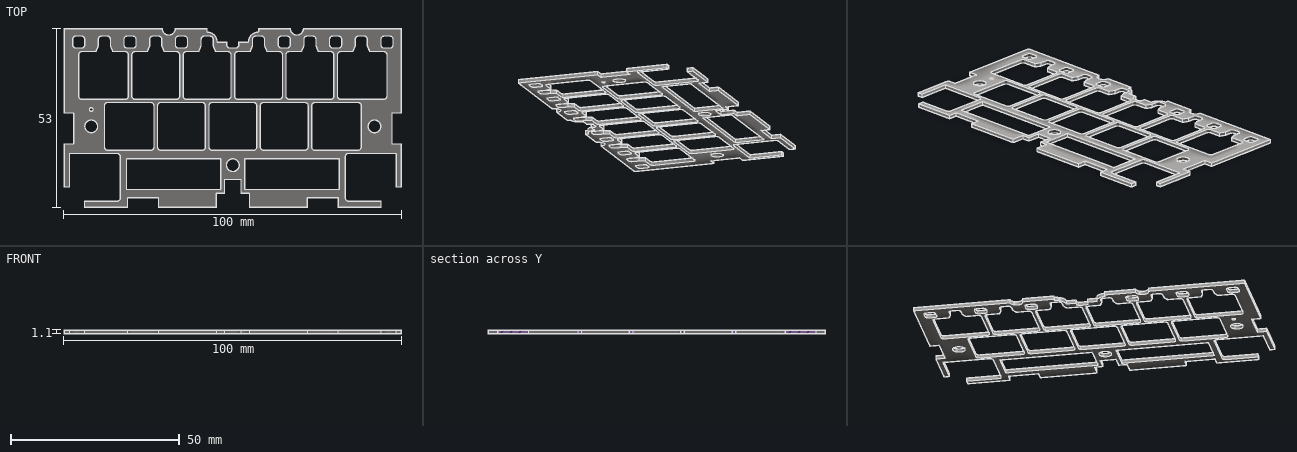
import cadquery as cq

length = 100.0
depth = 53.0
thickness = 1.1
half_length = length / 2
half_depth = depth / 2

upper_row_span = 76.2
key_size = 14.1
key_corner_radius = 0.9
end_key_extra = 0.5
upper_key_count = 6
key_pitch = upper_row_span / (upper_key_count - 1)
middle_key_count = 5
upper_row_y = 12.6
row_spacing = 15.1
middle_row_y = upper_row_y - row_spacing
lower_row_y = middle_row_y - row_spacing

window_size = 3.5
window_corner_radius = 0.9
window_y = 22.5
neck_flare_half_width = 2.5
neck_flare_y = 21.4

rear_scallop_x = 19.0
rear_scallop_radius = 1.9
recess_half_width = key_pitch / 2
recess_floor_y = window_y
neck_guard_radius = 3.0

side_notch_depth = 2.8
side_notch_rear_y = 1.4
side_notch_front_y = -7.7

side_arm_width = 1.6
side_arm_end_y = -20.5
corner_key_inner_x = 33.4
front_arm_end_x = 44.0

front_notch_outer_x = 31.2
front_notch_inner_x = 22.1
front_notch_top_y = -23.7
front_step_half_width = 4.9
front_step_y = -22.4
front_slot_half_width = 2.4
front_slot_top_y = -18.3

wide_window_outer_x = 31.5
wide_window_inner_x = 3.6
wide_window_rear_y = -12.1
wide_window_front_y = -21.2

screw_hole_diameter = 3.7
side_screw_x = 42.0
center_screw_y = -14.0
pin_hole_diameter = 1.0
pin_hole_y = 2.5


def box_between(x1, x2, y1, y2):
    """Full-thickness block spanning two X and two Y limits."""
    center = ((x1 + x2) / 2, (y1 + y2) / 2)
    return cq.Workplane("XY").center(*center).rect(abs(x2 - x1), abs(y2 - y1)).extrude(thickness)


def rounded_square(x, y, size, radius):
    """Full-thickness square with rounded upright edges."""
    half = size / 2
    return box_between(x - half, x + half, y - half, y + half).edges("|Z").fillet(radius)


def cylinder(x, y, diameter):
    """Full-thickness upright cylinder."""
    return cq.Workplane("XY").center(x, y).circle(diameter / 2).extrude(thickness)


def row_positions(count):
    """X centres of a row of evenly pitched items, centred on X = 0."""
    return [(i - (count - 1) / 2) * key_pitch for i in range(count)]


def key_opening(x, y, count):
    """Rounded key opening, wider on its outer side when it is the first or last of its row."""
    half = key_size / 2
    last_x = row_positions(count)[-1]
    left_extra = end_key_extra if x == -last_x else 0
    right_extra = end_key_extra if x == last_x else 0
    opening = box_between(x - half - left_extra, x + half + right_extra, y - half, y + half)
    return opening.edges("|Z").fillet(key_corner_radius)


def upper_key(x):
    """Key opening joined to a rounded neck that flares where it meets the key."""
    key_rear_y = upper_row_y + key_size / 2
    half_neck = window_size / 2
    flare = (
        cq.Workplane("XY")
        .polyline([
            (x - neck_flare_half_width, key_rear_y),
            (x - half_neck, neck_flare_y),
            (x + half_neck, neck_flare_y),
            (x + neck_flare_half_width, key_rear_y),
        ])
        .close()
        .extrude(thickness)
    )
    neck_end = rounded_square(x, window_y, window_size, window_corner_radius)
    neck = box_between(x - half_neck, x + half_neck, neck_flare_y, window_y)
    key = key_opening(x, upper_row_y, upper_key_count)
    return key.union(flare).union(neck).union(neck_end)


def rear_recess():
    """Recess in the middle of the rear edge, down to the middle of the central window,
    leaving a round guard behind the neck at each end.
    """
    recess = box_between(-recess_half_width, recess_half_width, recess_floor_y, half_depth)
    for side in (-1, 1):
        recess = recess.cut(cylinder(side * recess_half_width, window_y, 2 * neck_guard_radius))
    return recess


def open_corner(side):
    """Corner key opening, with the plate corner removed so that two free arms remain."""
    arm_inner_x = half_length - side_arm_width
    key_rear_y = lower_row_y + key_size / 2
    key_front_y = lower_row_y - key_size / 2
    key = box_between(side * corner_key_inner_x, side * arm_inner_x, key_front_y, key_rear_y)
    inner_edges = "<X" if side > 0 else ">X"
    key = key.faces(inner_edges).edges("|Z").fillet(key_corner_radius)
    outside = box_between(side * front_arm_end_x, side * half_length, -half_depth, side_arm_end_y)
    return key.union(outside)


def side_notch(side):
    """Rectangular notch in the left or right edge."""
    inner_x = half_length - side_notch_depth
    return box_between(side * inner_x, side * half_length, side_notch_front_y, side_notch_rear_y)


def wide_window(side):
    """Wide rectangular window of the lower row."""
    inner_x = side * wide_window_inner_x
    outer_x = side * wide_window_outer_x
    return box_between(inner_x, outer_x, wide_window_front_y, wide_window_rear_y)


def front_notch(side):
    """Rectangular notch in the front edge."""
    inner_x = side * front_notch_inner_x
    outer_x = side * front_notch_outer_x
    return box_between(inner_x, outer_x, -half_depth, front_notch_top_y)


result = cq.Workplane("XY").rect(length, depth).extrude(thickness)

for key_x in row_positions(upper_key_count):
    result = result.cut(upper_key(key_x))
for key_x in row_positions(middle_key_count):
    result = result.cut(key_opening(key_x, middle_row_y, middle_key_count))
for window_x in row_positions(upper_key_count + 1):
    result = result.cut(rounded_square(window_x, window_y, window_size, window_corner_radius))

result = result.cut(rear_recess())

for side in (-1, 1):
    result = result.cut(side_notch(side))
    result = result.cut(open_corner(side))
    result = result.cut(wide_window(side))
    result = result.cut(front_notch(side))
    result = result.cut(cylinder(side * rear_scallop_x, half_depth, 2 * rear_scallop_radius))
    result = result.cut(cylinder(side * side_screw_x, middle_row_y, screw_hole_diameter))

result = result.cut(box_between(-front_step_half_width, front_step_half_width, -half_depth, front_step_y))
result = result.cut(box_between(-front_slot_half_width, front_slot_half_width, -half_depth, front_slot_top_y))

result = result.cut(cylinder(0, center_screw_y, screw_hole_diameter))
result = result.cut(cylinder(-side_screw_x, pin_hole_y, pin_hole_diameter))